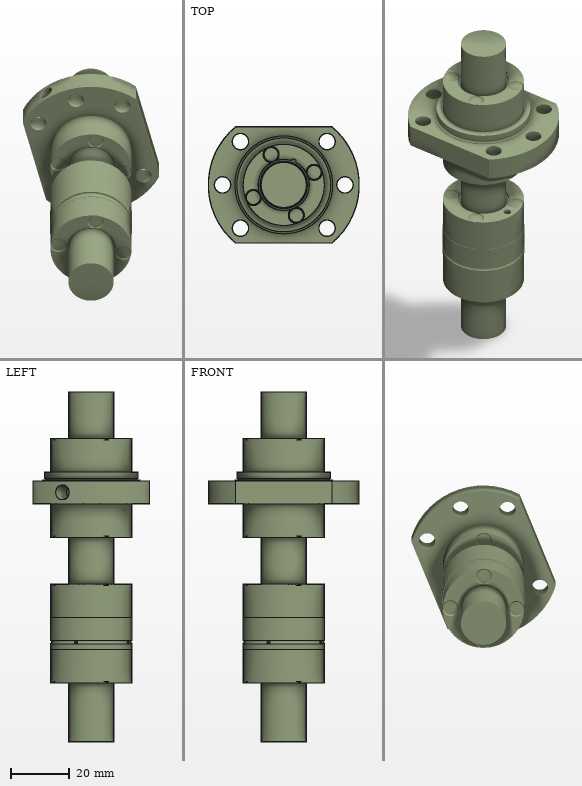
import cadquery as cq
import math

SHAFT_LENGTH = 120.0
SHAFT_RADIUS = 7.74

NUT_RADIUS = 13.9
END_LENGTH = 11.5
BAND_LENGTH = 7.9
RIM_LENGTH = 3.0
NUT_LENGTH = 2 * END_LENGTH + BAND_LENGTH + RIM_LENGTH

FLANGED_NUT_BOTTOM = 70.1
ROUND_NUT_BOTTOM = 20.2

MOUTH_RADIUS = 8.8
MOUTH_DEPTH = 1.0
BORE_CHAMFER = 0.4

POCKET_COUNT = 4
POCKET_STEP = 360 / POCKET_COUNT
POCKET_START = POCKET_STEP / 4
POCKET_CIRCLE_RADIUS = 11.3
POCKET_RADIUS = 2.8
POCKET_TAPER = 0.4
POCKET_DEPTH = 0.5

NOTCH_RADIUS = 1.0
NOTCH_OFFSET = 8.6
FLANGED_NOTCH_ANGLE = POCKET_START + POCKET_STEP / 2
ROUND_NOTCH_ANGLE = FLANGED_NOTCH_ANGLE + POCKET_STEP

FLANGE_RADIUS = 25.9
FLANGE_WIDTH = 40.0
BOLT_CIRCLE_RADIUS = 21.0
BOLT_HOLE_RADIUS = 2.8
BOLT_ANGLES = (0, 45, 135, 180, 225, 315)
LUBE_HOLE_RADIUS = 2.5
LUBE_HOLE_DEPTH = 9.8
LUBE_HOLE_ANGLE = 157.5

SHOULDER_RADIUS = 16.1
NECK_RADIUS = 15.7
STEP_RADIUS = 16.8
STEP_HEIGHT = 0.2
UNDERCUT_HEIGHT = 0.7

BAND_RADIUS = 14.0
GROOVE_HEIGHT = 1.1
GROOVE_DEPTH = 0.5
OIL_HOLE_RADIUS = 0.5
OIL_HOLE_DEPTH = 2.4
OIL_HOLE_COUNT = 4
OIL_HOLE_STEP = 360 / OIL_HOLE_COUNT
OIL_HOLE_START = POCKET_START + POCKET_STEP / 2

FACE_HOLE_RADIUS = 1.3
FACE_HOLE_DEPTH = 2.4
FACE_HOLE_OFFSET = 11.3
FACE_HOLE_ANGLE = -8.0


def cylinder(radius, bottom, top):
    return cq.Workplane("XY").workplane(offset=bottom).circle(radius).extrude(top - bottom)


def upright_cylinder(radius, offset, angle, bottom, top):
    """Cylinder parallel to Z at a polar position about the shaft axis."""
    turn = math.radians(angle)
    return cylinder(radius, bottom, top).translate((offset * math.cos(turn), offset * math.sin(turn), 0))


def radial_hole(radius, outer, depth, angle, height):
    """Cutter that enters towards the shaft axis and ends `depth` below radius `outer`."""
    margin = 1.2
    cutter = cq.Workplane("YZ").workplane(offset=outer - depth).circle(radius).extrude(depth + margin)
    return cutter.translate((0, 0, height)).rotate((0, 0, 0), (0, 0, 1), angle)


def cone(radius_at_face, taper, depth, face, inward):
    """Cone on the Z axis that narrows by `taper` away from a face; `inward` is 1 for up, -1 for down."""
    solid = cq.Solid.makeCone(
        radius_at_face, radius_at_face - taper, depth, cq.Vector(0, 0, face), cq.Vector(0, 0, inward)
    )
    return cq.Workplane(obj=solid)


def cut_end_face(nut, face, inward):
    """Cut the shaft recess, the bore chamfer and the tapered pockets into one end face."""
    floor = face + inward * MOUTH_DEPTH
    nut = nut.cut(cylinder(MOUTH_RADIUS, min(face, floor), max(face, floor)))
    nut = nut.cut(cone(SHAFT_RADIUS + BORE_CHAMFER, BORE_CHAMFER, BORE_CHAMFER, floor, inward))
    pocket = cone(POCKET_RADIUS, POCKET_TAPER, POCKET_DEPTH, face, inward)
    pocket = pocket.translate((POCKET_CIRCLE_RADIUS, 0, 0))
    for index in range(POCKET_COUNT):
        angle = POCKET_START + index * POCKET_STEP
        nut = nut.cut(pocket.rotate((0, 0, 0), (0, 0, 1), angle))
    return nut


def cut_end_details(nut, bottom, notch_angle):
    """Cut the shaft bore, the details of both end faces and the top notch."""
    top = bottom + NUT_LENGTH
    nut = nut.cut(cylinder(SHAFT_RADIUS, bottom, top))
    nut = cut_end_face(nut, bottom, 1)
    nut = cut_end_face(nut, top, -1)
    return nut.cut(upright_cylinder(NOTCH_RADIUS, NOTCH_OFFSET, notch_angle, top - MOUTH_DEPTH, top))


def make_shaft():
    return cylinder(SHAFT_RADIUS, 0, SHAFT_LENGTH)


def make_flange(bottom):
    top = bottom + BAND_LENGTH
    base = cq.Workplane("XY").workplane(offset=bottom)
    sides = base.rect(2 * FLANGE_RADIUS, FLANGE_WIDTH).extrude(BAND_LENGTH)
    flange = cylinder(FLANGE_RADIUS, bottom, top).intersect(sides)
    for angle in BOLT_ANGLES:
        flange = flange.cut(upright_cylinder(BOLT_HOLE_RADIUS, BOLT_CIRCLE_RADIUS, angle, bottom, top))
    middle = (bottom + top) / 2
    return flange.cut(radial_hole(LUBE_HOLE_RADIUS, FLANGE_RADIUS, LUBE_HOLE_DEPTH, LUBE_HOLE_ANGLE, middle))


def make_shoulder(bottom):
    """Low step, neck and shoulder stacked on the flange face."""
    undercut_top = bottom + UNDERCUT_HEIGHT
    shoulder = cylinder(STEP_RADIUS, bottom, bottom + STEP_HEIGHT)
    shoulder = shoulder.union(cylinder(NECK_RADIUS, bottom, undercut_top))
    return shoulder.union(cylinder(SHOULDER_RADIUS, undercut_top, bottom + RIM_LENGTH))


def make_flanged_nut():
    bottom = FLANGED_NUT_BOTTOM
    flange_bottom = bottom + END_LENGTH
    nut = cylinder(NUT_RADIUS, bottom, bottom + NUT_LENGTH)
    nut = nut.union(make_flange(flange_bottom))
    nut = nut.union(make_shoulder(flange_bottom + BAND_LENGTH))
    return cut_end_details(nut, bottom, FLANGED_NOTCH_ANGLE)


def make_grooved_band(bottom):
    """Band with a groove whose concave wall starts above the short lower part."""
    top = bottom + RIM_LENGTH + BAND_LENGTH
    groove_top = bottom + RIM_LENGTH
    groove_bottom = groove_top - GROOVE_HEIGHT
    groove_middle = groove_top - GROOVE_HEIGHT / 2
    floor_radius = BAND_RADIUS - GROOVE_DEPTH
    wall_radius = (GROOVE_DEPTH**2 + GROOVE_HEIGHT**2) / (2 * GROOVE_DEPTH)
    profile = (
        cq.Workplane("XZ")
        .moveTo(0, bottom)
        .lineTo(BAND_RADIUS, bottom)
        .lineTo(BAND_RADIUS, groove_bottom)
        .radiusArc((floor_radius, groove_top), wall_radius)
        .lineTo(BAND_RADIUS, groove_top)
        .lineTo(BAND_RADIUS, top)
        .lineTo(0, top)
        .close()
    )
    band = profile.revolve(360, (0, 0, 0), (0, 1, 0))
    for index in range(OIL_HOLE_COUNT):
        angle = OIL_HOLE_START + index * OIL_HOLE_STEP
        band = band.cut(radial_hole(OIL_HOLE_RADIUS, BAND_RADIUS, OIL_HOLE_DEPTH, angle, groove_middle))
    return band


def make_round_nut():
    bottom = ROUND_NUT_BOTTOM
    top = bottom + NUT_LENGTH
    nut = make_grooved_band(bottom + END_LENGTH)
    nut = nut.union(cylinder(NUT_RADIUS, bottom, bottom + END_LENGTH))
    nut = nut.union(cylinder(NUT_RADIUS, top - END_LENGTH, top))
    nut = cut_end_details(nut, bottom, ROUND_NOTCH_ANGLE)
    hole_floor = top - FACE_HOLE_DEPTH
    return nut.cut(upright_cylinder(FACE_HOLE_RADIUS, FACE_HOLE_OFFSET, FACE_HOLE_ANGLE, hole_floor, top))


shaft = make_shaft()
flanged_nut = make_flanged_nut()
round_nut = make_round_nut()
result = cq.Compound.makeCompound([shaft.val(), flanged_nut.val(), round_nut.val()])